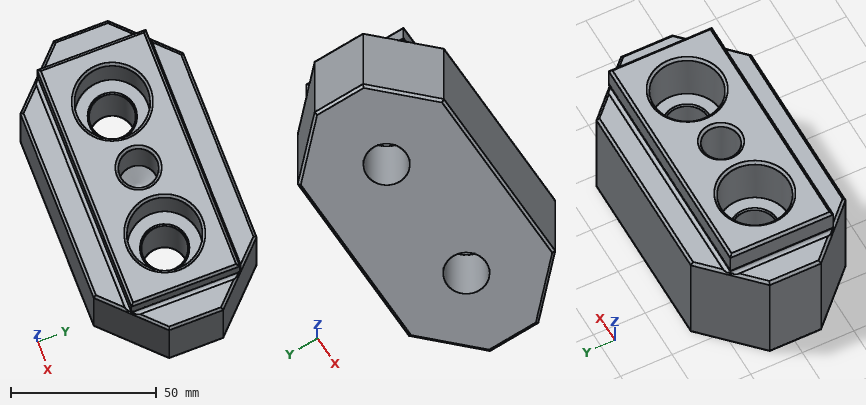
import cadquery as cq
import math

base_length = 110.0
base_width = 60.0
total_height = 50.0
corner_cut = 20.0
edge_chamfer = 1.0

block_height = 10.0
block_length = base_length - corner_cut
block_width = base_width - corner_cut
base_height = total_height - block_height

relief_radius = 1.0
relief_offset = 0.5

hole_spacing = 50.0
hole_diameter = 16.0
hole_mouth_diameter = 17.0
counterbore_diameter = 26.0
counterbore_depth = 20.0

blind_diameter = 13.9
blind_mouth_diameter = 16.0
blind_depth = 24.0
drill_point_angle = 118.0


def make_base():
    half_length = base_length / 2
    half_width = base_width / 2
    inner_x = half_length - corner_cut
    inner_y = half_width - corner_cut
    outline = [
        (half_length, -inner_y), (half_length, inner_y),
        (inner_x, half_width), (-inner_x, half_width),
        (-half_length, inner_y), (-half_length, -inner_y),
        (-inner_x, -half_width), (inner_x, -half_width),
    ]
    base = cq.Workplane("XY").polyline(outline).close().extrude(base_height)
    return base.faces("<Z or >Z").edges().chamfer(edge_chamfer)


def make_block():
    overlap = edge_chamfer
    block = (
        cq.Workplane("XY")
        .workplane(offset=base_height - overlap)
        .rect(block_length, block_width)
        .extrude(block_height + overlap)
    )
    return block.faces(">Z").edges().chamfer(edge_chamfer)


def cut_relief_grooves(body):
    axis_x = block_length / 2 + relief_offset
    axis_y = block_width / 2 + relief_offset
    axis_z = base_height + relief_offset
    for side in (-1, 1):
        along_x = cq.Solid.makeCylinder(
            relief_radius, base_length,
            cq.Vector(-base_length / 2, side * axis_y, axis_z), cq.Vector(1, 0, 0),
        )
        along_y = cq.Solid.makeCylinder(
            relief_radius, base_width,
            cq.Vector(side * axis_x, -base_width / 2, axis_z), cq.Vector(0, 1, 0),
        )
        body = body.cut(cq.Workplane(along_x)).cut(cq.Workplane(along_y))
    return body


def revolved_cutter(profile):
    """Turn a list of (radius, height) points around the Z axis."""
    return cq.Workplane("XZ").polyline(profile).close().revolve(360, (0, 0, 0), (0, 1, 0))


def cut_counterbored_holes(body):
    hole_radius = hole_diameter / 2
    hole_mouth_radius = hole_mouth_diameter / 2
    bore_radius = counterbore_diameter / 2
    floor_z = total_height - counterbore_depth
    cutter = revolved_cutter([
        (0, 0),
        (hole_radius, 0),
        (hole_radius, floor_z - (hole_mouth_radius - hole_radius)),
        (hole_mouth_radius, floor_z),
        (bore_radius, floor_z),
        (bore_radius, total_height - edge_chamfer),
        (bore_radius + edge_chamfer, total_height),
        (0, total_height),
    ])
    for side in (-1, 1):
        body = body.cut(cutter.translate((side * hole_spacing / 2, 0, 0)))
    return body


def cut_blind_hole(body):
    radius = blind_diameter / 2
    mouth_radius = blind_mouth_diameter / 2
    bottom_z = total_height - blind_depth
    point_depth = radius / math.tan(math.radians(drill_point_angle / 2))
    cutter = revolved_cutter([
        (0, bottom_z - point_depth),
        (radius, bottom_z),
        (radius, total_height - (mouth_radius - radius)),
        (mouth_radius, total_height),
        (0, total_height),
    ])
    return body.cut(cutter)


body = make_base().union(make_block())
body = cut_relief_grooves(body)
body = cut_counterbored_holes(body)
result = cut_blind_hole(body)